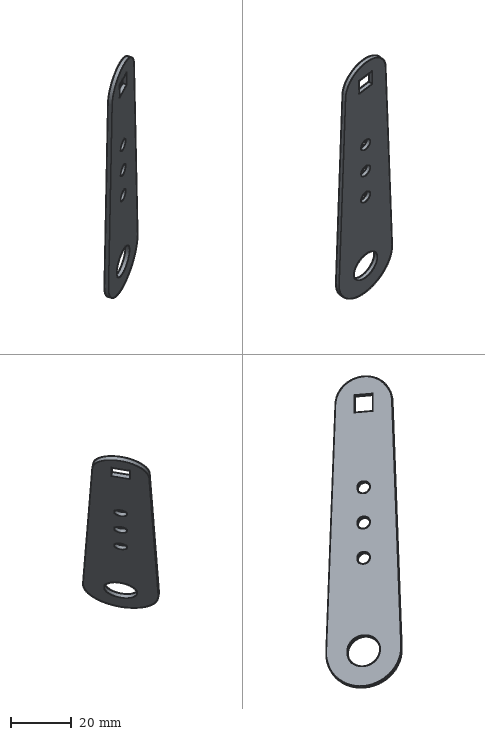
import cadquery as cq
import math

thickness = 1.5
length = 111.1
large_radius = 12.7
small_radius = 9.5
pivot_diameter = 11.1
square_side = 6.2
small_hole_diameter = 4.3
small_hole_count = 3
small_hole_pitch = 12.7
first_hole_height = 33.3

small_end_height = length - large_radius - small_radius

taper_angle = math.asin((large_radius - small_radius) / small_end_height)


def tangent_point(radius, center_height):
    """Tangent point of the +Y edge on an end arc, as (y, z)."""
    y = radius * math.cos(taper_angle)
    z = center_height + radius * math.sin(taper_angle)
    return y, z


def make_plate():
    large_y, large_z = tangent_point(large_radius, 0)
    small_y, small_z = tangent_point(small_radius, small_end_height)
    return (
        cq.Workplane("YZ")
        .moveTo(large_y, large_z)
        .lineTo(small_y, small_z)
        .threePointArc((0, small_end_height + small_radius), (-small_y, small_z))
        .lineTo(-large_y, large_z)
        .threePointArc((0, -large_radius), (large_y, large_z))
        .close()
        .extrude(thickness)
    )


def round_hole(diameter, height):
    """Cutter for a hole through the plate on its centreline."""
    return (
        cq.Workplane("YZ")
        .center(0, height)
        .circle(diameter / 2)
        .extrude(thickness)
    )


def square_hole():
    """Cutter for the drive hole at the centre of the small end."""
    return (
        cq.Workplane("YZ")
        .center(0, small_end_height)
        .rect(square_side, square_side)
        .extrude(thickness)
    )


result = make_plate().cut(round_hole(pivot_diameter, 0)).cut(square_hole())
for index in range(small_hole_count):
    hole_height = first_hole_height + index * small_hole_pitch
    result = result.cut(round_hole(small_hole_diameter, hole_height))